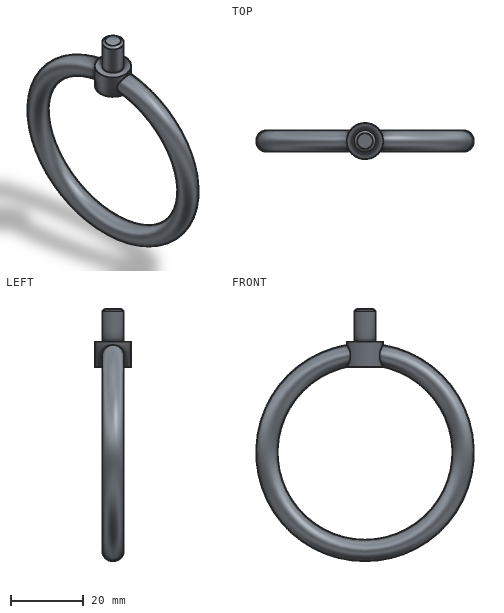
import cadquery as cq

total_height = 69.5
ring_outer_diameter = 60.0
bar_diameter = 6.0
collar_diameter = 10.0
collar_height = 7.0
stud_diameter = 6.0
stud_length = 9.05
chamfer_height = 0.6
chamfer_inset = 0.8

ring_bottom = -ring_outer_diameter / 2
ring_path_radius = (ring_outer_diameter - bar_diameter) / 2
stud_top = ring_bottom + total_height
collar_top = stud_top - stud_length
collar_bottom = collar_top - collar_height


def make_ring():
    """Closed round-bar ring whose axis is Y."""
    return cq.Workplane("XY").add(
        cq.Solid.makeTorus(ring_path_radius, bar_diameter / 2, cq.Vector(0, 0, 0), cq.Vector(0, 1, 0))
    )


def make_collar():
    """Upright cylinder that the top of the ring passes into."""
    return cq.Workplane("XY").workplane(offset=collar_bottom).circle(collar_diameter / 2).extrude(collar_height)


def make_stud():
    """Upright pin on the collar with a chamfered tip."""
    stud = cq.Workplane("XY").workplane(offset=collar_top).circle(stud_diameter / 2).extrude(stud_length)
    return stud.faces(">Z").edges().chamfer(chamfer_height, chamfer_inset)


result = make_ring().union(make_collar()).union(make_stud())